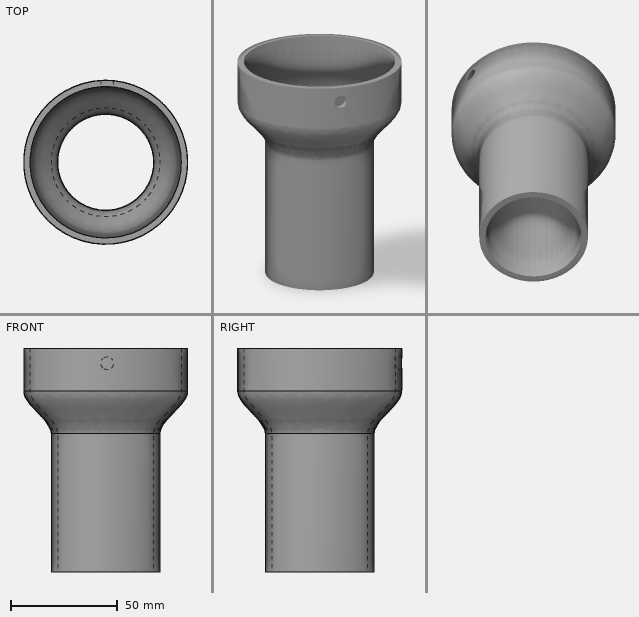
import cadquery as cq

wall = 3.0
tube_outer_diameter = 51.0
collar_outer_diameter = 77.0
tube_height = 65.0
reducer_height = 20.0
collar_height = 20.0
side_hole_diameter = 6.0
side_hole_depth = 7.0
side_hole_offset = 0.7

tube_outer_radius = tube_outer_diameter / 2
tube_inner_radius = tube_outer_radius - wall
collar_outer_radius = collar_outer_diameter / 2
collar_inner_radius = collar_outer_radius - wall
reducer_base = tube_height
collar_base = reducer_base + reducer_height
total_height = collar_base + collar_height
side_hole_z = total_height - side_hole_depth


def make_pipe(outer_radius, inner_radius, base, height):
    """Straight round pipe standing on the level `base`."""
    return (
        cq.Workplane("XY", origin=(0, 0, base))
        .circle(outer_radius)
        .circle(inner_radius)
        .extrude(height)
    )


def make_flared_plug(lower_radius, upper_radius):
    """Solid of revolution with an S-shaped side that ends vertical at both ends."""
    handle = reducer_height / 3
    return (
        cq.Workplane("XZ")
        .moveTo(0, reducer_base)
        .lineTo(lower_radius, reducer_base)
        .bezier(
            [
                (lower_radius, reducer_base + handle),
                (upper_radius, collar_base - handle),
                (upper_radius, collar_base),
            ],
            includeCurrent=True,
        )
        .lineTo(0, collar_base)
        .close()
        .revolve(360, (0, 0), (0, 1))
    )


def make_tube():
    """Lower straight tube."""
    return make_pipe(tube_outer_radius, tube_inner_radius, 0, tube_height)


def make_reducer():
    """Hollow flare that joins the tube to the wider collar."""
    outside = make_flared_plug(tube_outer_radius, collar_outer_radius)
    inside = make_flared_plug(tube_inner_radius, collar_inner_radius)
    return outside.cut(inside)


def make_collar():
    """Upper ring with one round hole through its +Y wall."""
    ring = make_pipe(collar_outer_radius, collar_inner_radius, collar_base, collar_height)
    side_hole = (
        cq.Workplane("XZ", origin=(side_hole_offset, 0, side_hole_z))
        .circle(side_hole_diameter / 2)
        .extrude(-collar_outer_diameter)
    )
    return ring.cut(side_hole)


tube = make_tube()
reducer = make_reducer()
collar = make_collar()

result = cq.Compound.makeCompound([*tube.solids().vals(), *reducer.solids().vals(), *collar.solids().vals()])